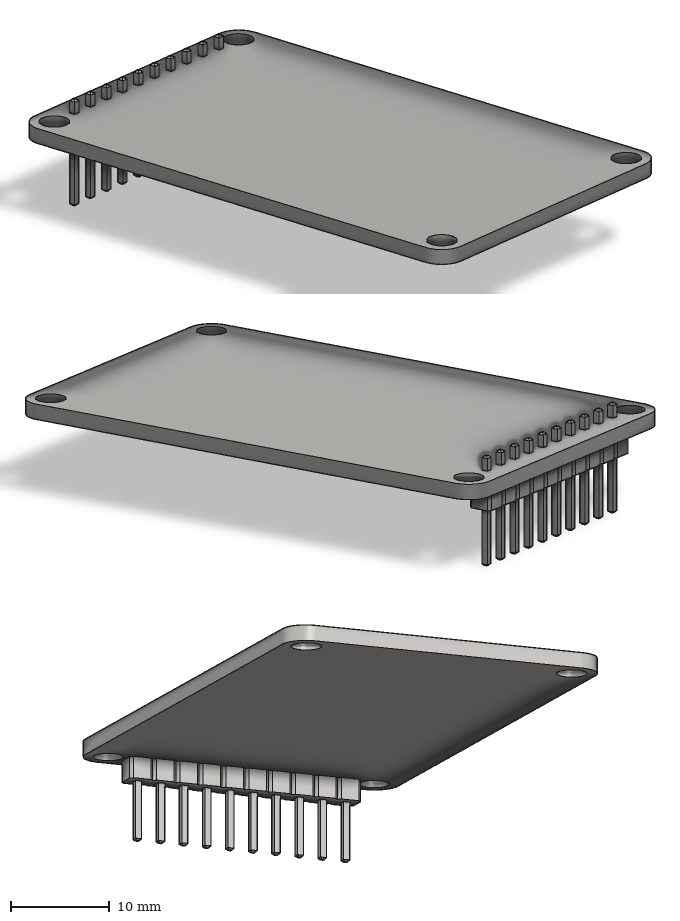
import cadquery as cq

BOARD_LENGTH = 55.9
BOARD_WIDTH = 34.3
BOARD_THICKNESS = 1.6
CORNER_RADIUS = 2.5

HOLE_DIAMETER = 3.1
HOLE_INSET_X = 2.5
HOLE_INSET_Y = 2.55
HOLE_SPACING_X = BOARD_LENGTH - 2 * HOLE_INSET_X
HOLE_SPACING_Y = BOARD_WIDTH - 2 * HOLE_INSET_Y

PIN_COUNT = 10
PIN_ROW_SPAN = 22.85
PIN_PITCH = PIN_ROW_SPAN / (PIN_COUNT - 1)
PIN_ROW_X = -HOLE_SPACING_X / 2

PIN_WIDTH = 0.65
PIN_LENGTH = 11.55
PIN_PROTRUSION = 1.5
PIN_TIP_CHAMFER = 0.195
PIN_BOTTOM_Z = BOARD_THICKNESS + PIN_PROTRUSION - PIN_LENGTH

HOUSING_WIDTH = PIN_PITCH
HOUSING_HEIGHT = 2.25
HOUSING_CHAMFER = 0.31


def make_board():
    """Plate with rounded corners and a mounting hole in each corner."""
    return (
        cq.Workplane("XY")
        .rect(BOARD_LENGTH, BOARD_WIDTH)
        .extrude(BOARD_THICKNESS)
        .edges("|Z")
        .fillet(CORNER_RADIUS)
        .faces(">Z")
        .workplane()
        .rect(HOLE_SPACING_X, HOLE_SPACING_Y, forConstruction=True)
        .vertices()
        .hole(HOLE_DIAMETER)
    )


def make_pin():
    """Square pin on the Z axis with both tips chamfered."""
    return (
        cq.Workplane("XY")
        .workplane(offset=PIN_BOTTOM_Z)
        .rect(PIN_WIDTH, PIN_WIDTH)
        .extrude(PIN_LENGTH)
        .faces("<Z or >Z")
        .chamfer(PIN_TIP_CHAMFER)
    )


def make_housing():
    """Square cell with chamfered upright edges, hanging below the board."""
    return (
        cq.Workplane("XY")
        .rect(HOUSING_WIDTH, HOUSING_WIDTH)
        .extrude(-HOUSING_HEIGHT)
        .edges("|Z")
        .chamfer(HOUSING_CHAMFER)
    )


result = make_board()
header_cell = make_housing().union(make_pin())
for index in range(PIN_COUNT):
    pin_y = index * PIN_PITCH - PIN_ROW_SPAN / 2
    result = result.union(header_cell.translate((PIN_ROW_X, pin_y, 0)))